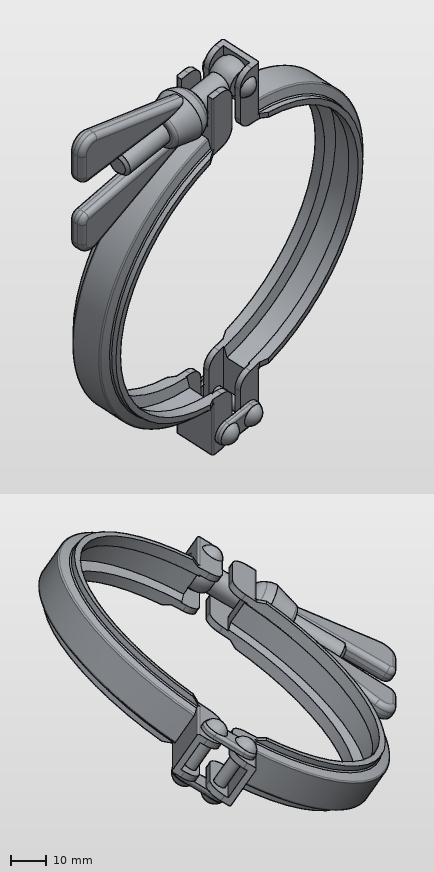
import cadquery as cq
import math

sheet = 2.0
band_radius = 56.5
crown_half_width = 5.2
lip_radius = 52.9
slope_foot = 6.2
band_half_width = 8.25
band_bend_radius = 0.5
lip_taper_length = 2.5

gap_half = 1.75
lug_back = 10.0
lug_half_width = 7.0
lug_end = 73.0
ear_radius = 5.0
bend_radius = 0.6

joint_height = 66.5
joint_offset = 5.0
link_shank_diameter = 4.0
top_shank_diameter = 4.82
head_sphere_radius = 4.0
top_head_height = 2.0
link_head_height = 2.375

link_width = 8.0
link_thickness = 2.0
link_edge_radius = 1.0

stud_diameter = 8.0
eye_radius = 6.0
eye_half_width = 4.1
stud_tip = -43.0
stud_chamfer = 1.0
slot_bottom = 60.6

nut_face = -10.3
nut_face_radius = 4.3
shoulder_y = -13.1
shoulder_radius = 7.5
rim_y = -16.1
rim_radius = 8.4
nut_end = -25.0
nut_end_round = 1.5
nut_end_radius = 6.0
face_arc_point = (6.3, -11.4)
shoulder_arc_point = (8.15, -14.6)

wing_thickness = 5.0
wing_edge_radius = 1.8
wing_tip = -61.0
wing_top = 89.47
wing_top_angle = math.radians(20.9)
wing_root_inner = 70.9
upper_wing_inner_tip = 72.8
lower_wing_inner_tip = 73.6
wing_top_corner = 5.0
wing_inner_corner = 3.0

lip_inner_radius = lip_radius - sheet
lug_inner_half = lug_half_width - sheet
wall_inner = lug_back - sheet


def turned_about_x(points):
    """Full turn about the X axis of a closed outline of (x, radius) points."""
    return cq.Workplane("XY").polyline(points).close().revolve(360, (0, 0, 0), (1, 0, 0))


def box_between(low, high):
    size = [b - a for a, b in zip(low, high)]
    return cq.Workplane("XY").box(*size, centered=False).translate(low)


def x_cylinder(diameter, half_length, y, z):
    return (cq.Workplane("YZ").center(y, z).circle(diameter / 2)
            .extrude(half_length, both=True))


flank_angle = math.atan2(slope_foot - crown_half_width, band_radius - lip_radius)
flank_shift = sheet / math.cos(flank_angle)


def flank_x(radius):
    """X of the outer flank at the given radius."""
    return crown_half_width + (band_radius - radius) * math.tan(flank_angle)


def mirrored_outline(side):
    return side + [(-x, r) for x, r in reversed(side)]


floor_radius = band_radius - sheet
groove_side = [
    (flank_x(floor_radius) - flank_shift, floor_radius),
    (flank_x(lip_inner_radius) - flank_shift, lip_inner_radius),
]
groove_core = turned_about_x(
    mirrored_outline([(0.0, floor_radius)] + groove_side + [(groove_side[-1][0], 0.0)])
)
bore = cq.Workplane("YZ").circle(lip_inner_radius).extrude(band_half_width, both=True)


def band_half():
    outer_side = [
        (crown_half_width, band_radius),
        (slope_foot, lip_radius),
        (band_half_width, lip_radius),
        (band_half_width, lip_inner_radius),
    ]
    ring = turned_about_x(mirrored_outline(outer_side + groove_side[::-1]))
    for radius in (lip_radius, band_radius):
        for side in (1, -1):
            x = side * (slope_foot if radius == lip_radius else crown_half_width)
            bend = cq.selectors.NearestToPointSelector((x, 0, 0))
            ring = ring.edges(bend).fillet(band_bend_radius)
    taper_end = lug_back + lip_taper_length
    plan = (
        cq.Workplane("XY")
        .moveTo(-lug_half_width, wall_inner)
        .lineTo(lug_half_width, wall_inner)
        .lineTo(lug_half_width, lug_back)
        .lineTo(band_half_width, taper_end)
        .lineTo(band_half_width, band_radius)
        .lineTo(-band_half_width, band_radius)
        .lineTo(-band_half_width, taper_end)
        .lineTo(-lug_half_width, lug_back)
        .close()
        .extrude(band_radius, both=True)
    )
    return ring.intersect(plan)


def lug():
    """Top lug of the rear half: two rounded ears folded from a back wall."""
    outside = (
        box_between((-lug_half_width, gap_half, 0), (lug_half_width, lug_back, lug_end))
        .edges(">Y and |Z").fillet(bend_radius)
        .cut(bore)
        .edges("<Y and |X").fillet(ear_radius)
    )
    channel = box_between((-lug_inner_half, 0, 0), (lug_inner_half, wall_inner, lug_end))
    return outside.cut(channel).cut(groove_core)


def clamp_half():
    """Rear half with its bottom pin hole only."""
    top_lug = lug()
    half = band_half().union(top_lug).union(top_lug.mirror("XY"))
    return half.cut(x_cylinder(link_shank_diameter, lug_half_width, joint_offset, -joint_height))


def eye_bolt():
    ball = cq.Workplane("XY").sphere(eye_radius).intersect(
        cq.Workplane("XY").box(2 * eye_half_width, 2 * eye_radius, 2 * eye_radius)
    ).translate((0, joint_offset, joint_height))
    stud = (
        cq.Workplane("XZ", origin=(0, joint_offset, joint_height))
        .circle(stud_diameter / 2).extrude(joint_offset - stud_tip)
        .faces("<Y").chamfer(stud_chamfer)
    )
    pin_hole = x_cylinder(top_shank_diameter, eye_radius, joint_offset, joint_height)
    return ball.union(stud).cut(pin_hole)


bolt = eye_bolt()
plain_half = clamp_half()
top_pin_hole = x_cylinder(top_shank_diameter, lug_half_width, joint_offset, joint_height)
rear_clamp = plain_half.cut(bolt).cut(top_pin_hole)
stud_slot = box_between(
    (-lug_inner_half, -lug_back, slot_bottom), (lug_inner_half, -wall_inner, lug_end)
)
front_clamp = plain_half.mirror("XZ").cut(stud_slot)


def link(side):
    plate = (
        cq.Workplane("YZ", origin=(lug_half_width, 0, -joint_height))
        .slot2D(2 * joint_offset + link_width, link_width).extrude(link_thickness)
        .faces(">X").edges().fillet(link_edge_radius)
        .cut(cq.Workplane("YZ", origin=(lug_half_width, 0, -joint_height))
             .pushPoints([(-joint_offset, 0), (joint_offset, 0)])
             .circle(link_shank_diameter / 2).extrude(link_thickness))
    )
    return plate if side > 0 else plate.mirror("YZ")


def rivet(shank_diameter, grip_half, head_height, y, z):
    """Shank along X with a domed head bearing on each end of the grip."""
    tip = grip_half + head_height
    dome_centre = tip - head_sphere_radius
    half_angle = math.acos(1 - head_height / head_sphere_radius)
    rim = head_sphere_radius * math.sin(half_angle)
    mid_x = dome_centre + head_sphere_radius * math.cos(half_angle / 2)
    mid_r = head_sphere_radius * math.sin(half_angle / 2)
    return (
        cq.Workplane("XY")
        .moveTo(-tip, 0)
        .threePointArc((-mid_x, mid_r), (-grip_half, rim))
        .lineTo(-grip_half, shank_diameter / 2)
        .lineTo(grip_half, shank_diameter / 2)
        .lineTo(grip_half, rim)
        .threePointArc((mid_x, mid_r), (tip, 0))
        .close()
        .revolve(360, (0, 0, 0), (1, 0, 0))
        .translate((0, y, z))
    )


links = [link(side) for side in (1, -1)]
top_rivet = rivet(top_shank_diameter, lug_half_width, top_head_height, joint_offset, joint_height)
link_rivets = [
    rivet(link_shank_diameter, lug_half_width + link_thickness, link_head_height,
          side * joint_offset, -joint_height)
    for side in (1, -1)
]


def nut_body():
    return (
        cq.Workplane("XY")
        .moveTo(0, nut_face)
        .lineTo(nut_face_radius, nut_face)
        .threePointArc(face_arc_point, (shoulder_radius, shoulder_y))
        .threePointArc(shoulder_arc_point, (rim_radius, rim_y))
        .lineTo(nut_end_radius, nut_end)
        .lineTo(0, nut_end)
        .close()
        .revolve(360, (0, 0, 0), (0, 1, 0))
        .faces("<Y").edges().fillet(nut_end_round)
        .translate((0, 0, joint_height))
    )


def wing(inner_tip_z):
    """Wing above the bolt, its root buried in the nut body."""
    arc_centre_z = wing_top - wing_top_corner
    tangent_z = arc_centre_z + wing_top_corner * math.cos(wing_top_angle)
    corner_z = tangent_z + wing_top_corner * (1 + math.sin(wing_top_angle)) * math.tan(wing_top_angle)
    wing_root_top = corner_z - (rim_y - wing_tip) * math.tan(wing_top_angle)
    return (
        cq.Workplane("YZ")
        .moveTo(rim_y, wing_root_inner)
        .lineTo(rim_y, wing_root_top)
        .lineTo(wing_tip, corner_z)
        .lineTo(wing_tip, inner_tip_z)
        .close()
        .extrude(wing_thickness / 2, both=True)
        .edges("|X and <Y and >Z").fillet(wing_top_corner)
        .edges("|X and <Y").edges("<Z").fillet(wing_inner_corner)
        .faces("<X or >X").edges().fillet(wing_edge_radius)
    )


upper_wing = wing(upper_wing_inner_tip)
lower_wing = wing(lower_wing_inner_tip).mirror("XY", (0, 0, joint_height))
stud_bore = (
    cq.Workplane("XZ", origin=(0, 0, joint_height))
    .circle(stud_diameter / 2).extrude(-wing_tip)
)
wing_nut = nut_body().union(upper_wing).union(lower_wing).cut(stud_bore)

parts = [rear_clamp, front_clamp, bolt, wing_nut, top_rivet, *links, *link_rivets]
result = cq.Compound.makeCompound([part.val() for part in parts])